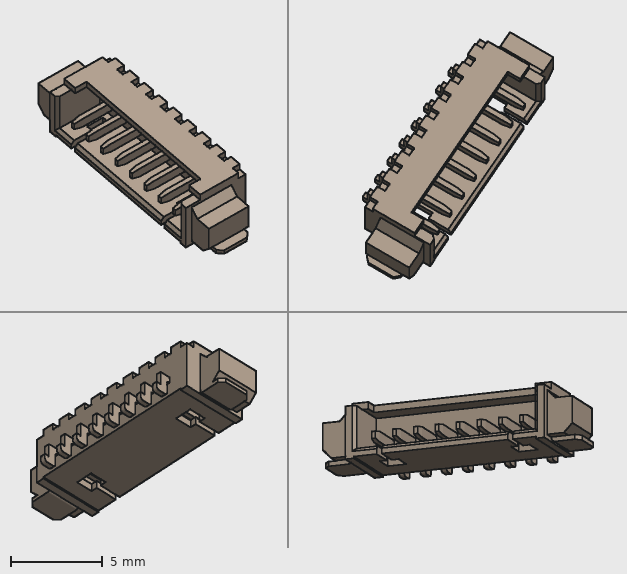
import cadquery as cq
import math


contact_count = 8
pitch = 1.25
contact_width = 0.32
contact_positions = [(i - (contact_count - 1) / 2) * pitch for i in range(contact_count)]

end_margin = 1.5
housing_length = (contact_count - 1) * pitch + 2 * end_margin
half_length = housing_length / 2
housing_depth = 4.2
housing_height = 3.4
standoff = 0.1
foot_width = 0.5

wall = 0.6
floor_top = 0.6
roof_thickness = 0.4
roof_bottom = housing_height - roof_thickness
cavity_depth = 3.0
mouth_chamfer = 0.2

roof_setback = 1.0
roof_opening_setback = 1.8
roof_corner_width = 0.95

notch_width = 0.5
notch_depth = 0.5

slot_offset = 3.875
slot_width = 0.3
window_width = 1.1
window_front = 1.45
window_back = 2.55

blade_bottom = 1.03
blade_height = 0.6
blade_front = 0.4
tip_length = 0.5
tip_side_inset = 0.05
tip_top_inset = 0.1
blade_embed = 0.4

tail_reach = 1.0
tail_top = 1.35
tail_bend_bottom = 1.0
leg_outer = 0.7
leg_inner = 0.2
toe_height = 0.5
toe_radius = 0.2
bend_radius = 0.15

wing_reach = 1.5
wing_front = 0.4
wing_back = 3.2
wing_bottom = 0.27
wing_top = 2.8
wing_bevel = 0.5
tab_front = 1.0
tab_overhang = 0.2
tab_corner = 0.3
tab_bend_radius = 0.25


def block(x_start, x_end, y_start, y_end, z_start, z_end):
    """Axis-aligned block between two opposite corners."""
    size = (x_end - x_start, y_end - y_start, z_end - z_start)
    return cq.Workplane("XY").box(*size, centered=False).translate((x_start, y_start, z_start))


def centered_block(x_middle, width, y_start, y_end, z_start, z_end):
    """Block of a given width about a middle X."""
    return block(x_middle - width / 2, x_middle + width / 2, y_start, y_end, z_start, z_end)


def mouth_profile(flare, y):
    """Cavity outline at depth y, moved out over the walls and floor by a flare."""
    half_width = half_length - wall + flare
    bottom = floor_top - flare
    return (
        cq.Workplane("XZ", origin=(0, y, 0))
        .moveTo(-half_width, bottom)
        .lineTo(half_width, bottom)
        .lineTo(half_width, roof_bottom)
        .lineTo(-half_width, roof_bottom)
        .close()
    )


def cavity():
    """Mating cavity with a bevelled mouth on the floor and side walls."""
    pocket = mouth_profile(0, 0).extrude(-cavity_depth)
    inner = mouth_profile(0, mouth_chamfer).wires().val()
    outer = mouth_profile(mouth_chamfer, 0).wires().val()
    bevel = cq.Solid.makeLoft([outer, inner], True)
    return pocket.union(cq.Workplane(obj=bevel))


def housing():
    """Open-fronted shell standing on a foot at each end."""
    body = centered_block(0, housing_length, 0, housing_depth, 0, housing_height)
    body = body.cut(cavity())
    body = body.cut(centered_block(0, housing_length - 2 * foot_width, 0, housing_depth, 0, standoff))
    body = body.cut(centered_block(0, housing_length, 0, roof_setback, roof_bottom, housing_height))
    opening_length = housing_length - 2 * roof_corner_width
    body = body.cut(
        centered_block(0, opening_length, 0, roof_opening_setback, roof_bottom, housing_height)
    )
    return body


def rear_notches():
    """Notches over each contact, and a step of the same width at each end."""
    end_position = half_length - notch_width / 2
    notches = cq.Workplane("XY")
    for x in [-end_position, *contact_positions, end_position]:
        notches = notches.add(
            centered_block(
                x, notch_width, housing_depth - notch_depth, housing_depth, roof_bottom, housing_height
            )
        )
    return notches.combine()


def floor_slot(x):
    """Slot from the mating face through the floor, opening into its window."""
    slot = centered_block(x, slot_width, 0, window_front, 0, floor_top)
    return slot.union(centered_block(x, window_width, window_front, window_back, 0, floor_top))


def blade(x):
    """Contact blade with a tapered tip, rooted in the cavity's rear wall."""
    shoulder = blade_front + tip_length
    middle_height = blade_bottom + blade_height / 2
    bar = centered_block(
        x, contact_width, shoulder, cavity_depth + blade_embed, blade_bottom, blade_bottom + blade_height
    )
    tip = (
        cq.Workplane("XZ", origin=(x, shoulder, middle_height))
        .rect(contact_width, blade_height)
        .workplane(offset=tip_length)
        .rect(contact_width - 2 * tip_side_inset, blade_height - 2 * tip_top_inset)
        .loft(combine=True)
    )
    return bar.union(tip)


def tail(x):
    """Gull-wing solder tail leaving the rear face."""
    rear = housing_depth
    heel = rear + leg_inner
    toe = rear + tail_reach
    arc_drop = toe_radius * (1 - math.cos(math.radians(45)))
    bend_drop = bend_radius * (1 - math.cos(math.radians(45)))
    return (
        cq.Workplane("YZ", origin=(x - contact_width / 2, 0, 0))
        .moveTo(rear - blade_embed, tail_top)
        .lineTo(rear + leg_outer, tail_top)
        .lineTo(rear + leg_outer, toe_height)
        .lineTo(toe, toe_height)
        .lineTo(toe, toe_radius)
        .threePointArc((toe - arc_drop, arc_drop), (toe - toe_radius, 0))
        .lineTo(heel + toe_radius, 0)
        .threePointArc((heel + arc_drop, arc_drop), (heel, toe_radius))
        .lineTo(heel, tail_bend_bottom - bend_radius)
        .threePointArc(
            (heel - bend_drop, tail_bend_bottom - bend_drop), (heel - bend_radius, tail_bend_bottom)
        )
        .lineTo(rear - blade_embed, tail_bend_bottom)
        .close()
        .extrude(contact_width)
    )


def wing():
    """Wing on the high X end, bevelled below its outer edge and above its root."""
    root = half_length
    outer = root + wing_reach
    shelf = wing_top - wing_bevel
    return (
        cq.Workplane("XZ", origin=(0, wing_front, 0))
        .moveTo(root, wing_bottom)
        .lineTo(outer - wing_bevel, wing_bottom)
        .lineTo(outer, wing_bottom + wing_bevel)
        .lineTo(outer, shelf)
        .lineTo(root + wing_bevel, shelf)
        .lineTo(root, wing_top)
        .close()
        .extrude(wing_front - wing_back)
    )


def solder_tab():
    """Flat tab under the high X wing, rounded where it bends up at the housing."""
    tip = half_length + wing_reach + tab_overhang
    tab = block(half_length, tip, tab_front, wing_back, 0, wing_bottom)
    tab = tab.edges("|Z and >X").chamfer(tab_corner)
    return tab.edges("|Y and <X and <Z").fillet(tab_bend_radius)


result = housing().cut(rear_notches())

for side in (-1, 1):
    result = result.cut(floor_slot(side * slot_offset))

for position in contact_positions:
    result = result.union(blade(position)).union(tail(position))

end_fitting = wing().union(solder_tab())
result = result.union(end_fitting).union(end_fitting.mirror("YZ"))